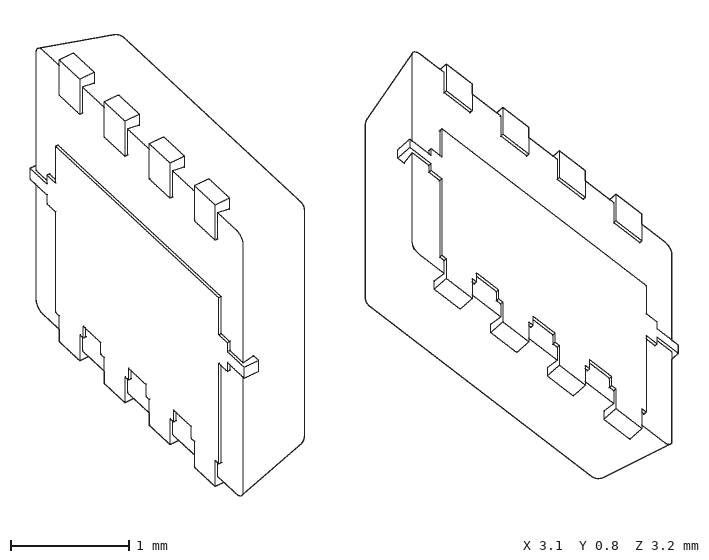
import cadquery as cq
import math


total_width = 3.1
total_depth = 0.8
total_height = 3.2

housing_size = 3.0
standoff = 0.025
draft_angle = 10.0
edge_radius = 0.1

lead_count = 4
lead_pitch = 0.653
lead_width = 0.3
lead_length = 0.4
metal_thickness = 0.15

pad_width = 2.36
pad_top = 0.582
pad_bottom = -1.305
shoulder_width = 2.61
shoulder_height = 0.325
tie_bar_height = 0.125
notch_width = 0.253
notch_height = 0.135


def metal_block(width, z_low, z_high, x_center=0.0):
    """A block of the sheet metal, from the mounting face up to the metal thickness."""
    block = cq.Workplane("XY").box(width, metal_thickness, z_high - z_low, centered=(True, False, False))
    return block.translate((x_center, 0, z_low))


def row_positions(count):
    """X positions of a row of features at the lead pitch, centred on X = 0."""
    return [(i - (count - 1) / 2) * lead_pitch for i in range(count)]


def make_lead(x_center):
    """A separate lead along the upper edge."""
    lead_end = total_height / 2
    return metal_block(lead_width, lead_end - lead_length, lead_end, x_center)


def make_lead_frame():
    """The exposed pad with its side tie bars, and the lower leads joined to it."""
    frame = metal_block(pad_width, pad_bottom, pad_top)
    frame = frame.union(metal_block(shoulder_width, -shoulder_height / 2, shoulder_height / 2))
    frame = frame.union(metal_block(total_width, -tie_bar_height / 2, tie_bar_height / 2))
    for x in row_positions(lead_count):
        frame = frame.union(metal_block(lead_width, -total_height / 2, pad_bottom, x))
    for x in row_positions(lead_count - 1):
        frame = frame.cut(metal_block(notch_width, pad_bottom, pad_bottom + notch_height, x))
    return frame


def make_housing(embedded_bodies):
    """The drafted moulding with rounded edges, recessed for the metal embedded in it."""
    depth = total_depth - standoff
    back_size = housing_size - 2 * depth * math.tan(math.radians(draft_angle))
    housing = (
        cq.Workplane("XZ", origin=(0, standoff, 0))
        .rect(housing_size, housing_size)
        .workplane(offset=-depth)
        .rect(back_size, back_size)
        .loft(ruled=True)
    )
    housing = housing.edges("not <Y").fillet(edge_radius)
    for body in embedded_bodies:
        housing = housing.cut(body)
    return housing


leads = [make_lead(x) for x in row_positions(lead_count)]
lead_frame = make_lead_frame()
housing = make_housing([*leads, lead_frame])

result = cq.Compound.makeCompound([housing.val(), lead_frame.val(), *[lead.val() for lead in leads]])